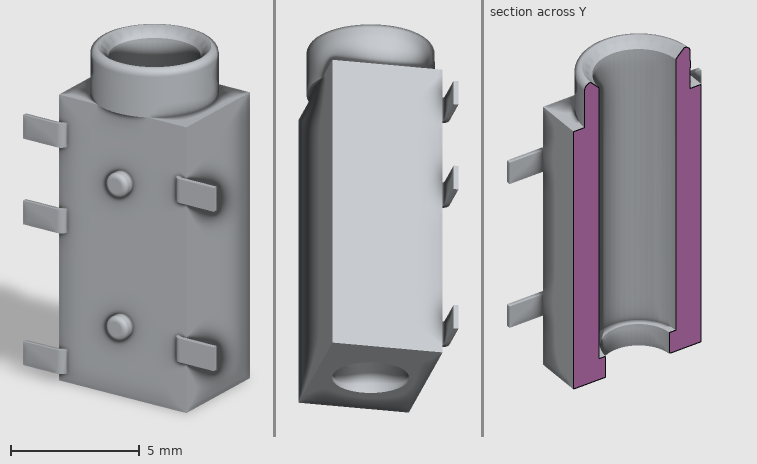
import cadquery as cq
import math

block_width = 6.0
block_depth = 4.4
total_height = 14.0
front_y = -block_depth / 2

collar_diameter = 5.0
collar_height = 2.0
collar_round = 0.3
block_height = total_height - collar_height

bore_diameter = 3.6
mouth_diameter = collar_diameter - 2 * collar_round
mouth_depth = 0.4
through_diameter = 3.0
floor_thickness = 1.0

peg_diameter = 1.0
peg_length = 0.5
peg_round = 0.2
peg_heights = [3.0, 9.0]

terminal_span = 9.0
terminal_width = 1.0
terminal_thickness = 0.2
bend_outer_radius = 0.3
bend_inner_radius = bend_outer_radius - terminal_thickness
bend_inset = 0.4
left_terminal_heights = [0.9, 6.8, 10.4]
right_terminal_heights = [2.7, 9.4]


def make_peg(height):
    """Round peg standing on the front face, with a rounded tip."""
    return (
        cq.Workplane("XZ", origin=(0, front_y, height))
        .circle(peg_diameter / 2)
        .extrude(peg_length)
        .faces("<Y")
        .edges()
        .fillet(peg_round)
    )


def make_socket():
    """Space to remove from the housing for the plug."""
    through = cq.Workplane("XY").circle(through_diameter / 2).extrude(total_height)
    bore = (
        cq.Workplane("XY", origin=(0, 0, floor_thickness))
        .circle(bore_diameter / 2)
        .extrude(total_height - floor_thickness)
    )
    mouth = (
        cq.Workplane("XY", origin=(0, 0, total_height - mouth_depth))
        .circle(bore_diameter / 2)
        .workplane(offset=mouth_depth)
        .circle(mouth_diameter / 2)
        .loft(ruled=True)
    )
    return through.union(bore).union(mouth)


def make_housing():
    """Block, collar and pegs in one piece, with the socket cut through."""
    block = cq.Workplane("XY").box(
        block_width, block_depth, block_height, centered=(True, True, False)
    )
    collar = (
        cq.Workplane("XY", origin=(0, 0, block_height))
        .circle(collar_diameter / 2)
        .extrude(collar_height)
        .faces(">Z")
        .edges()
        .fillet(collar_round)
    )
    housing = block.union(collar)
    for height in peg_heights:
        housing = housing.union(make_peg(height))
    return housing.cut(make_socket())


def make_terminal(side, height):
    """Bent strip on one side of the block: side is -1 for left, +1 for right."""
    tip_x = side * terminal_span / 2
    inner_end_x = side * (block_width / 2 - bend_inset)
    bend_x = inner_end_x + side * bend_outer_radius
    diagonal = math.sqrt(0.5)

    def bend_point(radius):
        return (bend_x - side * radius * diagonal, front_y - radius * diagonal)

    return (
        cq.Workplane("XY", origin=(0, 0, height - terminal_width / 2))
        .moveTo(inner_end_x, front_y)
        .threePointArc(bend_point(bend_outer_radius), (bend_x, front_y - bend_outer_radius))
        .lineTo(tip_x, front_y - bend_outer_radius)
        .lineTo(tip_x, front_y - bend_inner_radius)
        .lineTo(bend_x, front_y - bend_inner_radius)
        .threePointArc(bend_point(bend_inner_radius), (bend_x - side * bend_inner_radius, front_y))
        .close()
        .extrude(terminal_width)
    )


housing = make_housing()

terminals = []
for side, heights in [(-1, left_terminal_heights), (1, right_terminal_heights)]:
    for height in heights:
        terminals.append(make_terminal(side, height).val())

result = cq.Compound.makeCompound([housing.solids().val(), *terminals])